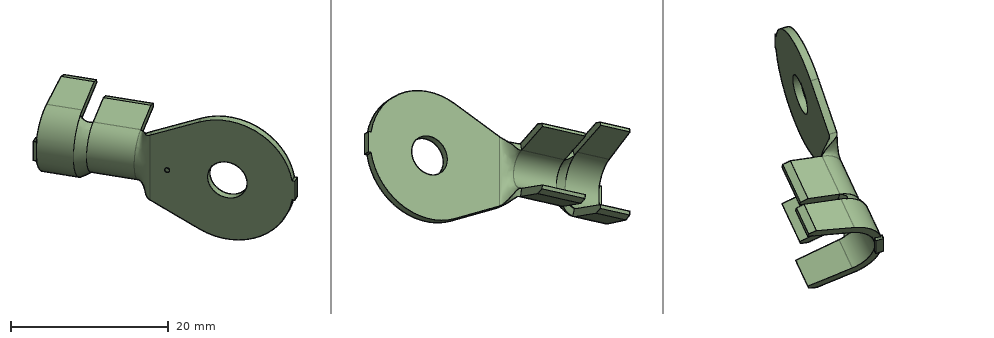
import cadquery as cq
import math


sheet = 1.05
ring_radius = 8.72
hole_diameter = 5.23
tongue_start_x = -10.27
tongue_start_half_width = 4.78
dimple_x = -8.0
dimple_diameter = 0.65
dimple_depth = 0.1

tab_half_width = 1.4
tab_root_radius = 0.2
tab_front_x = 8.98
tab_rear_x = -25.63
front_tab_overlap = 0.05
rear_tab_overlap = 0.1

bend_angle = 75.0
tip_land = 0.5
tip_bevel_length = 0.92

wire_radius = 3.77
wire_base_y = 0.0
wire_tip_y = 8.26
wire_start_x = -18.7
wire_end_x = -12.37

insulation_radius = 5.05
insulation_base_y = -0.5
insulation_tip_y = 9.41
insulation_end_x = -20.28
rear_face_base_x = -25.3
rear_face_tip_x = -24.6

neck_low_x = -19.3
neck_low_radius = 4.3
neck_low_base_y = -0.2
neck_low_angle = 65.0
neck_insulation_angle = 65.0

transition_steps = 6
unroll_power = 1.3
transition_waist = 0.4


def arc_strip(x, radius, base_y, half_angle):
    """Closed cross-section at x: a sheet strip bent through half_angle degrees on each side of z = 0."""
    angle = math.radians(half_angle)
    inner_radius = radius - sheet
    center_y = base_y + radius
    outer_y = center_y - radius * math.cos(angle)
    outer_z = radius * math.sin(angle)
    inner_y = center_y - inner_radius * math.cos(angle)
    inner_z = inner_radius * math.sin(angle)
    return (
        cq.Workplane("YZ", origin=(x, 0, 0))
        .moveTo(outer_y, -outer_z)
        .threePointArc((base_y, 0), (outer_y, outer_z))
        .lineTo(inner_y, inner_z)
        .threePointArc((base_y + sheet, 0), (inner_y, -inner_z))
        .close()
        .wire()
        .val()
    )


def flat_strip(x, half_width):
    """Closed rectangular cross-section of the flat sheet at x."""
    return (
        cq.Workplane("YZ", origin=(x, 0, 0))
        .moveTo(0, -half_width)
        .lineTo(0, half_width)
        .lineTo(sheet, half_width)
        .lineTo(sheet, -half_width)
        .close()
        .wire()
        .val()
    )


def crimp_wing(radius, base_y, tip_y, start_x, end_x):
    """Straight wing on the +Z side, tangent to the barrel arc, with its outer tip edge bevelled."""
    angle = math.radians(bend_angle)
    center_y = base_y + radius
    along = (math.sin(angle), math.cos(angle))
    outward = (-math.cos(angle), math.sin(angle))
    inner_radius = radius - sheet
    length = (tip_y - center_y - inner_radius * outward[0]) / along[0]

    def point(distance, offset):
        y = center_y + distance * along[0] + offset * outward[0]
        z = distance * along[1] + offset * outward[1]
        return (y, z)

    outline = [
        point(0, inner_radius),
        point(length, inner_radius),
        point(length, inner_radius + tip_land),
        point(length - tip_bevel_length, radius),
        point(0, radius),
    ]
    return cq.Workplane("YZ", origin=(start_x, 0, 0)).polyline(outline).close().extrude(end_x - start_x)


def crimp_barrel(radius, base_y, tip_y, start_x, end_x):
    """Open U barrel: a curved floor with a wing on each side."""
    floor_wire = arc_strip(start_x, radius, base_y, bend_angle)
    floor = cq.Workplane("YZ").add(
        cq.Solid.extrudeLinear(floor_wire, [], cq.Vector(end_x - start_x, 0, 0))
    )
    wing = crimp_wing(radius, base_y, tip_y, start_x, end_x)
    return floor.union(wing).union(wing.mirror("XY"))


def carrier_tab(root_x, end_x, base_y):
    """Stub from root_x to end_x, one sheet thick, with a concave flare on each side of its root."""
    direction = math.copysign(1, end_x - root_x)
    root_half_width = tab_half_width + tab_root_radius
    flare_end_x = root_x + direction * tab_root_radius
    flare_offset = tab_root_radius * (1 - math.sqrt(0.5))
    flare_middle_x = root_x + direction * flare_offset
    flare_middle_z = tab_half_width + flare_offset
    return (
        cq.Workplane("XZ", origin=(0, base_y, 0))
        .moveTo(root_x, -root_half_width)
        .threePointArc((flare_middle_x, -flare_middle_z), (flare_end_x, -tab_half_width))
        .lineTo(end_x, -tab_half_width)
        .lineTo(end_x, tab_half_width)
        .lineTo(flare_end_x, tab_half_width)
        .threePointArc((flare_middle_x, flare_middle_z), (root_x, root_half_width))
        .close()
        .extrude(-sheet)
    )


def insulation_barrel():
    """Rear barrel with a slanted rear face and the rear carrier tab."""
    barrel = crimp_barrel(
        insulation_radius, insulation_base_y, insulation_tip_y, tab_rear_x, insulation_end_x
    )
    keep = (
        cq.Workplane("XY")
        .polyline([
            (rear_face_base_x, insulation_base_y),
            (insulation_end_x, insulation_base_y),
            (insulation_end_x, insulation_tip_y),
            (rear_face_tip_x, insulation_tip_y),
        ])
        .close()
        .extrude(2 * ring_radius, both=True)
    )
    tab = carrier_tab(rear_face_base_x + rear_tab_overlap, tab_rear_x, insulation_base_y)
    return barrel.intersect(keep).union(tab)


def neck():
    """Scalloped web joining the two barrel floors."""
    sections = [
        arc_strip(insulation_end_x, insulation_radius, insulation_base_y, neck_insulation_angle),
        arc_strip(neck_low_x, neck_low_radius, neck_low_base_y, neck_low_angle),
        arc_strip(wire_start_x, wire_radius, wire_base_y, bend_angle),
    ]
    return cq.Workplane("XY").add(cq.Solid.makeLoft(sections))


def transition():
    """Strip that unrolls smoothly from the wire barrel floor to the flat tongue."""
    length = tongue_start_x - wire_end_x
    wire_half_length = wire_radius * math.radians(bend_angle)
    sections = []
    for step in range(transition_steps):
        t = step / transition_steps
        curl = (1 - t) ** 2 * (1 + 2 * t)
        angle = bend_angle * curl ** unroll_power
        straight_half_length = wire_half_length + t * (tongue_start_half_width - wire_half_length)
        half_length = straight_half_length - transition_waist * math.sin(math.pi * t)
        radius = half_length / math.radians(angle)
        sections.append(arc_strip(wire_end_x + t * length, radius, wire_base_y, angle))
    sections.append(flat_strip(tongue_start_x, tongue_start_half_width))
    return cq.Workplane("XY").add(cq.Solid.makeLoft(sections))


def ring_tongue():
    """Flat ring with tangent flanks, stud hole, front carrier tab and a small dimple."""
    start_distance = math.hypot(tongue_start_x, tongue_start_half_width)
    start_direction = math.atan2(tongue_start_half_width, tongue_start_x)
    tangent_direction = start_direction - math.acos(ring_radius / start_distance)
    tangent_x = ring_radius * math.cos(tangent_direction)
    tangent_z = ring_radius * math.sin(tangent_direction)

    plate = (
        cq.Workplane("XZ")
        .moveTo(tongue_start_x, -tongue_start_half_width)
        .lineTo(tangent_x, -tangent_z)
        .threePointArc((ring_radius, 0), (tangent_x, tangent_z))
        .lineTo(tongue_start_x, tongue_start_half_width)
        .close()
        .extrude(-sheet)
    )
    root_x = math.sqrt(ring_radius ** 2 - (tab_half_width + tab_root_radius) ** 2)
    tab = carrier_tab(root_x - front_tab_overlap, tab_front_x, 0)
    hole = cq.Workplane("XZ").circle(hole_diameter / 2).extrude(-sheet)
    dimple = cq.Workplane("XZ").center(dimple_x, 0).circle(dimple_diameter / 2).extrude(-dimple_depth)
    return plate.union(tab).cut(hole).cut(dimple)


wire_barrel = crimp_barrel(wire_radius, wire_base_y, wire_tip_y, wire_start_x, wire_end_x)
result = (
    ring_tongue()
    .union(transition())
    .union(wire_barrel)
    .union(neck())
    .union(insulation_barrel())
)